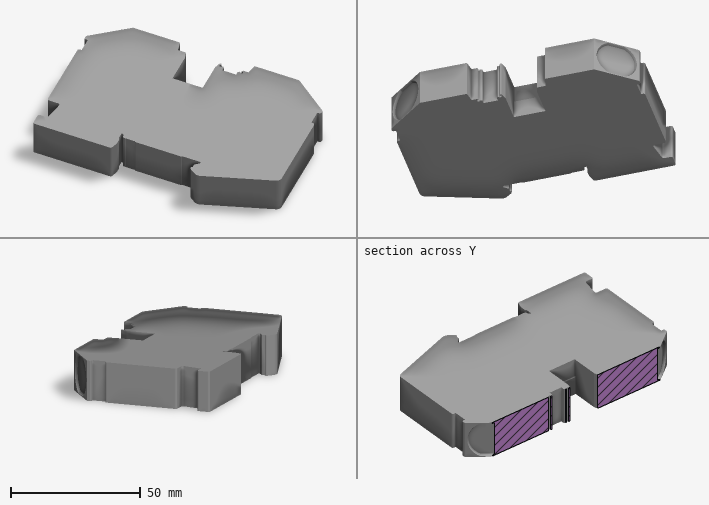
import cadquery as cq
import math

length = 100.0
height = 62.5
thickness = 16.0
middle_x = length / 2

top_inset = 14.9
shoulder_y = 51.1
notch_top_y = 49.4
notch_bottom_y = 43.6
notch_depth = 1.5
edge_radius = 0.8
lip_radius = 0.4

slot_top_y = 13.7
slot_floor_top_x = 5.6
slot_floor_bottom_x = 3.9
slot_radius = 0.8
foot_top_y = 5.2
foot_lip_x = 34.1
foot_lip_low_y = 3.2
foot_lip_high_y = 5.4
foot_end_x = 33.1

relief_left_x = 33.6
relief_right_x = 34.7
relief_top_y = 8.8
relief_bottom_y = 6.3
relief_radius = 0.8

underside_y = 7.0
underside_drop = 0.3
drop_start_x = 40.0
drop_end_x = 60.0
drop_run = 0.4
bead_x = 36.0
bead_half_width = 0.2
bead_height = 0.2

hook_root_x = 67.8
hook_root_y = 6.3
hook_neck_x = 66.0
hook_neck_top_y = 4.8
hook_neck_bottom_y = 3.4
hook_tip_x = 65.4
hook_tip_top_y = 3.0
hook_tip_bottom_y = 2.7
hook_chin_x = 65.9
hook_chin_y = 1.9
hook_bottom_x = 69.2
hook_bottom_y = -0.3
hook_radius = 3.0
hook_tip_radius = 0.2
slope_end_y = 10.1
slope_end_radius = 2.2

opening_left_x = 39.8
opening_right_x = 52.5
opening_floor_y = 43.8
opening_bend_y = 55.8
ledge_y = 58.5
left_ledge_start_x = 35.6
left_ledge_end_x = 39.0
left_block_end_x = 34.8
right_ledge_end_x = 65.4
right_block_start_x = 66.2
right_ledge_start_x = 53.3

step_height = 0.6
step_thickness = thickness / 2

groove_middle_x = 58.6
groove_floor_y = 55.5
groove_half_width = 2.9
groove_rim_y = 57.0
bump_half_width = 3.4
bump_outer_half_width = 4.0
bump_top_y = 57.4
undercut_half_width = 4.9
barb_y = 57.8
barb_half_width = 4.2
barb_top_half_width = 4.6

recess_diameter = 16.7
recess_flat_width = 15.3
recess_depth = 1.0
recess_inset = 0.5


def rounded_outline(corners):
    """Closed wire through (x, y, radius) corners; zero radius stays sharp."""
    path = []
    for i, (x, y, radius) in enumerate(corners):
        before = corners[i - 1]
        after = corners[(i + 1) % len(corners)]
        point = cq.Vector(x, y)
        if radius == 0:
            path.append((point, point, point))
            continue
        to_before = (cq.Vector(before[0], before[1]) - point).normalized()
        to_after = (cq.Vector(after[0], after[1]) - point).normalized()
        half_angle = to_before.getAngle(to_after) / 2
        setback = radius / math.tan(half_angle)
        bulge = radius / math.sin(half_angle) - radius
        inward = (to_before + to_after).normalized()
        path.append((point + to_before * setback, point + inward * bulge, point + to_after * setback))

    outline = cq.Workplane("XY").moveTo(*path[0][2].toTuple()[:2])
    for start, middle, end in path[1:] + path[:1]:
        outline = outline.lineTo(start.x, start.y)
        if start != end:
            outline = outline.threePointArc((middle.x, middle.y), (end.x, end.y))
    return outline.close()


def groove_side(side):
    """Barbed groove wall from the ledge to the floor; side is -1 left, 1 right."""
    wall = [
        (barb_top_half_width, ledge_y),
        (barb_half_width, barb_y),
        (undercut_half_width, barb_y),
        (undercut_half_width, groove_rim_y),
        (bump_outer_half_width, groove_rim_y),
        (bump_outer_half_width, bump_top_y),
        (bump_half_width, bump_top_y),
        (groove_half_width, groove_rim_y),
        (groove_half_width, groove_floor_y),
    ]
    return [(groove_middle_x + side * offset, y, 0) for offset, y in wall]


left_foot = [
    (0, slot_top_y, edge_radius),
    (slot_floor_top_x, slot_top_y, slot_radius),
    (slot_floor_bottom_x, foot_top_y, slot_radius),
    (0, foot_top_y, edge_radius),
    (0, 0, edge_radius),
    (foot_end_x, 0, edge_radius),
    (foot_lip_x, foot_lip_low_y, edge_radius),
    (foot_lip_x, foot_lip_high_y, lip_radius),
    (relief_left_x, relief_bottom_y, 0),
]

underside = [
    (relief_left_x, relief_top_y, 0),
    (relief_right_x, relief_top_y, relief_radius),
    (relief_right_x, underside_y, relief_radius),
    (bead_x - bead_half_width, underside_y, 0),
    (bead_x, underside_y - bead_height, 0),
    (bead_x + bead_half_width, underside_y, 0),
    (drop_start_x, underside_y, 0),
    (drop_start_x + drop_run, underside_y - underside_drop, 0),
    (drop_end_x - drop_run, underside_y - underside_drop, 0),
    (drop_end_x, underside_y, 0),
]

right_foot = [
    (hook_root_x, underside_y, 0),
    (hook_root_x, hook_root_y, 0),
    (hook_neck_x, hook_neck_top_y, 0),
    (hook_neck_x, hook_neck_bottom_y, hook_tip_radius),
    (hook_tip_x, hook_tip_top_y, hook_tip_radius),
    (hook_tip_x, hook_tip_bottom_y, hook_tip_radius),
    (hook_chin_x, hook_chin_y, 0),
    (hook_bottom_x, hook_bottom_y, hook_radius),
    (length, slope_end_y, slope_end_radius),
]

right_shoulder = [
    (length, notch_bottom_y, edge_radius),
    (length - notch_depth, notch_bottom_y, 0),
    (length - notch_depth, notch_top_y, 0),
    (length, notch_top_y, edge_radius),
    (length, shoulder_y, edge_radius),
    (length - top_inset, height, 0),
]

right_ledge = [
    (right_block_start_x, height, 0),
    (right_ledge_end_x, ledge_y, 0),
]

opening = [
    (right_ledge_start_x, ledge_y, 0),
    (opening_right_x, opening_bend_y, 0),
    (opening_right_x, opening_floor_y, 0),
    (opening_left_x, opening_floor_y, 0),
    (opening_left_x, opening_bend_y, 0),
    (left_ledge_end_x, ledge_y, 0),
    (left_ledge_start_x, ledge_y, 0),
    (left_block_end_x, height, 0),
]

left_shoulder = [
    (top_inset, height, 0),
    (0, shoulder_y, 0),
    (0, notch_top_y, lip_radius),
    (notch_depth, notch_top_y, lip_radius),
    (notch_depth, notch_bottom_y, 0),
    (0, notch_bottom_y, edge_radius),
]

groove = groove_side(1) + groove_side(-1)[::-1]

profile = (
    left_foot + underside + right_foot + right_shoulder
    + right_ledge + groove + opening + left_shoulder
)
body = rounded_outline(profile).extrude(thickness)

floor_step = cq.Workplane("XY").box(
    opening_right_x - opening_left_x, step_height, step_thickness, centered=False
).translate((opening_left_x, opening_floor_y, 0))
body = body.union(floor_step)


def wire_entry():
    """Tapered pocket at the centre of the left shoulder slope."""
    shoulder_rise = height - shoulder_y
    slope_plane = cq.Plane(
        origin=(top_inset / 2, shoulder_y + shoulder_rise / 2, thickness / 2),
        xDir=(top_inset, shoulder_rise, 0),
        normal=(shoulder_rise, -top_inset, 0),
    )
    radius = recess_diameter / 2
    half_flat = recess_flat_width / 2
    half_chord = math.sqrt(radius**2 - half_flat**2)
    taper_angle = math.degrees(math.atan2(recess_inset, recess_depth))
    return (
        cq.Workplane(slope_plane)
        .moveTo(-half_chord, -half_flat)
        .lineTo(half_chord, -half_flat)
        .threePointArc((radius, 0), (half_chord, half_flat))
        .lineTo(-half_chord, half_flat)
        .threePointArc((-radius, 0), (-half_chord, -half_flat))
        .close()
        .extrude(recess_depth, taper=taper_angle)
    )


left_entry = wire_entry()
right_entry = left_entry.mirror("YZ", (middle_x, 0, 0))
result = body.cut(left_entry).cut(right_entry)